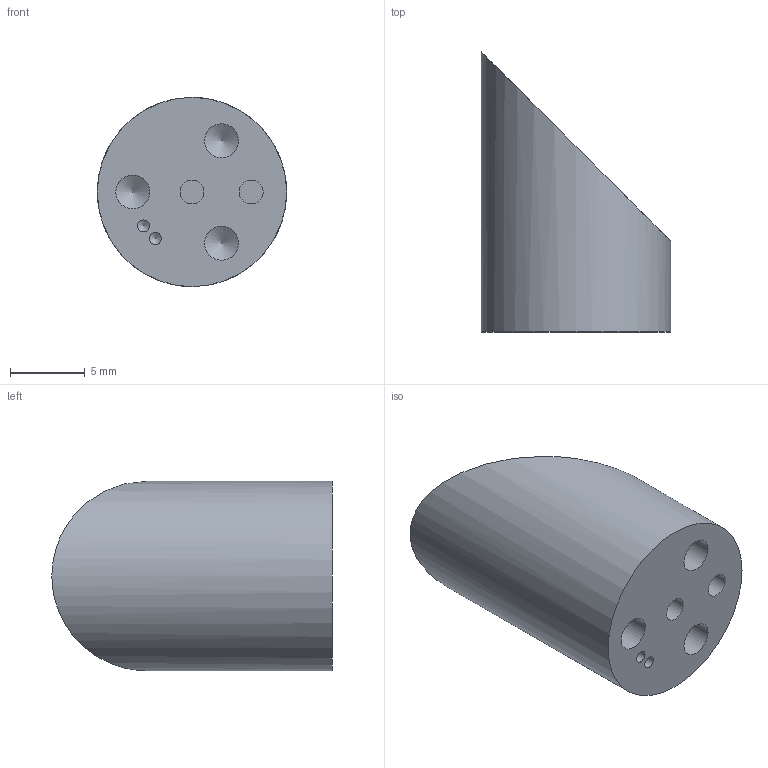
import cadquery as cq
import math

diameter = 12.7
full_length = 18.8
face_angle = 45.0

bolt_circle_radius = 3.97
drill_point_angle = 118.0
large_hole_diameter = 2.28
large_hole_depth = 4.0
large_hole_angles = (60.0, 180.0, 300.0)
flat_hole_diameter = 1.6
flat_hole_depth = 3.0
flat_hole_centers = ((0.0, 0.0), (bolt_circle_radius, 0.0))
small_hole_diameter = 0.8
small_hole_depth = 2.0
small_hole_angles = (215.0, 231.7)

radius = diameter / 2
short_length = full_length - diameter / math.tan(math.radians(face_angle))


def make_body():
    """Cylinder cut by a plane that slopes from the -X side down to the +X side."""
    cylinder = cq.Workplane("XZ").circle(radius).extrude(-full_length)
    side_profile = (
        cq.Workplane("XY")
        .moveTo(-radius, 0)
        .lineTo(radius, 0)
        .lineTo(radius, short_length)
        .lineTo(-radius, full_length)
        .close()
        .extrude(radius, both=True)
    )
    return cylinder.intersect(side_profile)


def on_bolt_circle(angle):
    """X and Z of a point on the bolt circle, angle in degrees from +X towards +Z."""
    turn = math.radians(angle)
    return bolt_circle_radius * math.cos(turn), bolt_circle_radius * math.sin(turn)


def flat_bottomed_hole(center, hole_diameter, depth):
    """Flat-bottomed blind hole, bored along +Y from the mounting face."""
    x, z = center
    return cq.Workplane("XZ").center(x, z).circle(hole_diameter / 2).extrude(-depth)


def drilled_hole(center, hole_diameter, depth):
    """Blind hole with a conical drill point beyond its straight depth."""
    x, z = center
    hole_radius = hole_diameter / 2
    tip_length = hole_radius / math.tan(math.radians(drill_point_angle / 2))
    return (
        cq.Workplane("XY")
        .lineTo(hole_radius, 0)
        .lineTo(hole_radius, depth)
        .lineTo(0, depth + tip_length)
        .close()
        .revolve(360, (0, 0, 0), (0, 1, 0))
        .translate((x, 0, z))
    )


result = make_body()
for angle in large_hole_angles:
    result = result.cut(drilled_hole(on_bolt_circle(angle), large_hole_diameter, large_hole_depth))
for center in flat_hole_centers:
    result = result.cut(flat_bottomed_hole(center, flat_hole_diameter, flat_hole_depth))
for angle in small_hole_angles:
    result = result.cut(drilled_hole(on_bolt_circle(angle), small_hole_diameter, small_hole_depth))